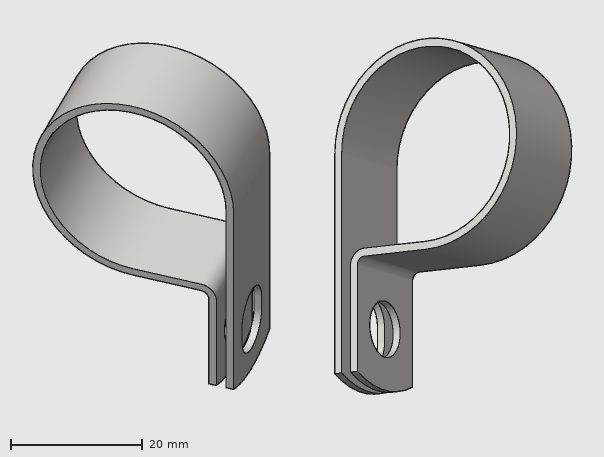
import cadquery as cq
import math

total_height = 51.95
loop_diameter = 32.55
band_width = 15.9
thickness = 1.25
tab_gap = 1.55
bend_inner_radius = 1.25
hole_diameter = 8.65
hole_height = 9.45
slot_extra = 2.4
end_bulge = 1.7

loop_radius = loop_diameter / 2
inner_radius = loop_radius - thickness
bottom_z = loop_radius - total_height
tab_right_x = loop_radius - thickness - tab_gap
tab_left_x = tab_right_x - thickness
bend_outer_radius = bend_inner_radius + thickness
bend_x = tab_right_x - bend_outer_radius
bend_z = -inner_radius - bend_outer_radius
diagonal = math.sqrt(0.5)


def on_loop(radius):
    """Point on the upper left of the loop, midway along its three-quarter arc."""
    return (-radius * diagonal, radius * diagonal)


def on_bend(radius):
    """Point midway along the quarter bend above the left tab."""
    return (bend_x + radius * diagonal, bend_z + radius * diagonal)


def make_band():
    """Bent strip: straight leg, loop, flat shelf and left tab."""
    return (
        cq.Workplane("XZ")
        .moveTo(loop_radius, bottom_z)
        .lineTo(loop_radius, 0)
        .threePointArc(on_loop(loop_radius), (0, -loop_radius))
        .lineTo(bend_x, -loop_radius)
        .threePointArc(on_bend(bend_inner_radius), (tab_left_x, bend_z))
        .lineTo(tab_left_x, bottom_z)
        .lineTo(tab_right_x, bottom_z)
        .lineTo(tab_right_x, bend_z)
        .threePointArc(on_bend(bend_outer_radius), (bend_x, -inner_radius))
        .lineTo(0, -inner_radius)
        .threePointArc(on_loop(inner_radius), (inner_radius, 0))
        .lineTo(inner_radius, bottom_z)
        .close()
        .extrude(band_width / 2, both=True)
    )


def make_side_outline():
    """Block with the rounded lower end shared by both tabs."""
    half_width = band_width / 2
    corner_z = bottom_z + end_bulge
    return (
        cq.Workplane("YZ")
        .moveTo(-half_width, loop_radius)
        .lineTo(-half_width, corner_z)
        .threePointArc((0, bottom_z), (half_width, corner_z))
        .lineTo(half_width, loop_radius)
        .close()
        .extrude(loop_radius, both=True)
    )


def tab_sketch_plane(start_x):
    """Plane facing +X at start_x, centred on the bolt axis."""
    return cq.Workplane("YZ", origin=(start_x, 0, bottom_z + hole_height))


def make_round_hole():
    """Cylinder through the left tab."""
    return tab_sketch_plane(tab_left_x).circle(hole_diameter / 2).extrude(thickness)


def make_adjustment_slot():
    """Upright slot through the right tab, centred on the round hole."""
    slot_length = hole_diameter + slot_extra
    return tab_sketch_plane(inner_radius).slot2D(slot_length, hole_diameter, 90).extrude(thickness)


band = make_band().intersect(make_side_outline())
result = band.cut(make_round_hole()).cut(make_adjustment_slot())